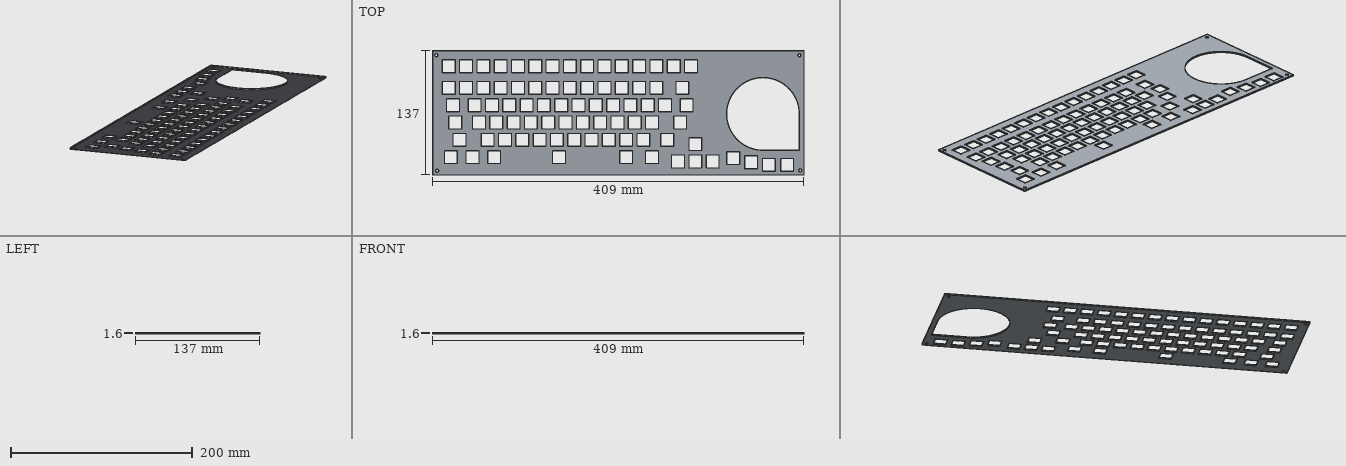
import cadquery as cq

PLATE_LENGTH = 409.0
PLATE_WIDTH = 137.0
PLATE_THICKNESS = 1.6

CUTOUT_SIDE = 14.0
FUNCTION_KEY_COUNT = 15
FUNCTION_ROW_SPAN = 266.5
KEY_PITCH = FUNCTION_ROW_SPAN / (FUNCTION_KEY_COUNT - 1)
GRID_LEFT_MARGIN = 8.0
GRID_X = -PLATE_LENGTH / 2 + GRID_LEFT_MARGIN + KEY_PITCH / 2
GRID_Y = 27.5

THUMB_KEYS = [(126.5, -50.0), (146.0, -54.5), (165.5, -57.3), (185.5, -57.3)]

BALL_DIAMETER = 79.8
BALL_X = 159.0
BALL_Y = -1.2

MOUNT_DIAMETER = 3.2
MOUNT_HOLES = [(-200.5, 63.5), (199.0, 63.5), (-199.5, -64.0), (200.0, -63.5)]


def key_run(first_column, count):
    """Columns of neighbouring keys spaced one pitch apart."""
    return [first_column + i for i in range(count)]


KEY_ROWS = [
    (-1.25, key_run(0, FUNCTION_KEY_COUNT)),
    (0, key_run(0, 13) + [13.5]),
    (1, [0.25] + key_run(1.5, 12) + [13.75]),
    (2, [0.375] + key_run(1.75, 11) + [13.375]),
    (3, [0.625] + key_run(2.25, 10) + [12.625]),
    (4, [0.125, 1.375, 2.625, 6.375, 10.25, 11.75]),
    (3.25, [14.25]),
    (4.25, key_run(13.25, 3)),
]


def grid_centres():
    """Cutout centres of all keys on the key grid."""
    return [
        (GRID_X + column * KEY_PITCH, GRID_Y - row * KEY_PITCH)
        for row, columns in KEY_ROWS
        for column in columns
    ]


def key_cutters():
    return (
        cq.Workplane("XY")
        .pushPoints(grid_centres() + THUMB_KEYS)
        .rect(CUTOUT_SIDE, CUTOUT_SIDE)
        .extrude(PLATE_THICKNESS)
    )


def trackball_cutter():
    radius = BALL_DIAMETER / 2
    return (
        cq.Workplane("XY", origin=(BALL_X, BALL_Y, 0))
        .moveTo(0, -radius)
        .lineTo(radius, -radius)
        .lineTo(radius, 0)
        .threePointArc((0, radius), (-radius, 0))
        .radiusArc((0, -radius), -radius)
        .close()
        .extrude(PLATE_THICKNESS)
    )


def mount_cutters():
    return (
        cq.Workplane("XY")
        .pushPoints(MOUNT_HOLES)
        .circle(MOUNT_DIAMETER / 2)
        .extrude(PLATE_THICKNESS)
    )


plate = cq.Workplane("XY").box(
    PLATE_LENGTH, PLATE_WIDTH, PLATE_THICKNESS, centered=(True, True, False)
)
result = plate.cut(key_cutters()).cut(trackball_cutter()).cut(mount_cutters())